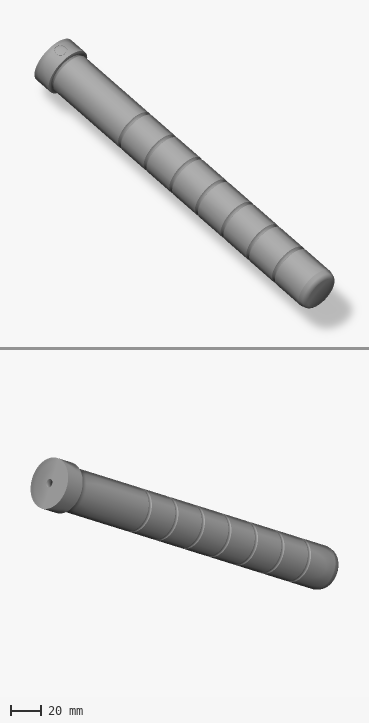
import cadquery as cq
import math

LENGTH = 260.0
HEAD_RADIUS = 17.55
HEAD_LENGTH = 13.8
SHAFT_RADIUS = 15.0

GROOVE_WIDTH = 2.9
GROOVE_DEPTH = 1.0
GROOVE_COUNT = 7
FIRST_GROOVE_X = 80.0
LAST_GROOVE_X = 230.0

UNDERCUT_DEPTH = 0.65
UNDERCUT_FLOOR = 1.3
UNDERCUT_TAPER = 0.8

LEAD_LENGTH = 5.5
LEAD_ANGLE = 15.0
TIP_LENGTH = 2.3
TIP_END_RADIUS = 11.7

CENTRE_MOUTH_RADIUS = 2.9
CENTRE_BORE_RADIUS = 1.5
CENTRE_CONE_ANGLE = 60.0
CENTRE_DEPTH = 5.7
DRILL_POINT_ANGLE = 118.0

MARK_OUTER_RADIUS = 4.5
MARK_INNER_RADIUS = 3.6
MARK_DEPTH = 0.3


def cone_depth(large_radius, small_radius, included_angle):
    """Axial length of a cone between two radii."""
    return (large_radius - small_radius) / math.tan(math.radians(included_angle / 2))


def pin_body():
    """Turned head, shaft and tapered, rounded tip."""
    lead_start = LENGTH - LEAD_LENGTH
    tip_start = LENGTH - TIP_LENGTH
    lead_slope = math.radians(LEAD_ANGLE)
    tip_radius = SHAFT_RADIUS - (tip_start - lead_start) * math.tan(lead_slope)
    return (
        cq.Workplane("XY")
        .lineTo(0, HEAD_RADIUS)
        .lineTo(HEAD_LENGTH, HEAD_RADIUS)
        .lineTo(HEAD_LENGTH, SHAFT_RADIUS)
        .lineTo(lead_start, SHAFT_RADIUS)
        .lineTo(tip_start, tip_radius)
        .tangentArcPoint((LENGTH, TIP_END_RADIUS), relative=False)
        .lineTo(LENGTH, 0)
        .close()
        .revolve(360, (0, 0, 0), (1, 0, 0))
    )


def ring_groove(centre_x):
    """Cutter for one arc-bottomed groove."""
    half_width = GROOVE_WIDTH / 2
    return (
        cq.Workplane("XY")
        .moveTo(centre_x - half_width, SHAFT_RADIUS)
        .threePointArc(
            (centre_x, SHAFT_RADIUS - GROOVE_DEPTH),
            (centre_x + half_width, SHAFT_RADIUS),
        )
        .close()
        .revolve(360, (0, 0, 0), (1, 0, 0))
    )


def centre_hole():
    """Cutter for the centre hole, running from the head face along X."""
    cone = cone_depth(CENTRE_MOUTH_RADIUS, CENTRE_BORE_RADIUS, CENTRE_CONE_ANGLE)
    point = cone_depth(CENTRE_BORE_RADIUS, 0, DRILL_POINT_ANGLE)
    return (
        cq.Workplane("XY")
        .lineTo(0, CENTRE_MOUTH_RADIUS)
        .lineTo(cone, CENTRE_BORE_RADIUS)
        .lineTo(CENTRE_DEPTH, CENTRE_BORE_RADIUS)
        .lineTo(CENTRE_DEPTH + point, 0)
        .close()
        .revolve(360, (0, 0, 0), (1, 0, 0))
    )


def undercut():
    """Cutter for the undercut beside the head: flat floor, then a taper up to the shaft."""
    floor_radius = SHAFT_RADIUS - UNDERCUT_DEPTH
    floor_end = HEAD_LENGTH + UNDERCUT_FLOOR
    return (
        cq.Workplane("XY")
        .moveTo(HEAD_LENGTH, SHAFT_RADIUS)
        .lineTo(HEAD_LENGTH, floor_radius)
        .lineTo(floor_end, floor_radius)
        .lineTo(floor_end + UNDERCUT_TAPER, SHAFT_RADIUS)
        .close()
        .revolve(360, (0, 0, 0), (1, 0, 0))
    )


def ring_mark():
    """Cutter for the ring mark, following the curve of the head at constant depth."""
    tube = (
        cq.Workplane("XY")
        .center(HEAD_LENGTH / 2, 0)
        .circle(MARK_OUTER_RADIUS)
        .circle(MARK_INNER_RADIUS)
        .extrude(HEAD_RADIUS)
    )
    head_core = cq.Workplane("YZ").circle(HEAD_RADIUS - MARK_DEPTH).extrude(HEAD_LENGTH)
    return tube.cut(head_core)


groove_pitch = (LAST_GROOVE_X - FIRST_GROOVE_X) / (GROOVE_COUNT - 1)

result = pin_body().cut(undercut())
for i in range(GROOVE_COUNT):
    result = result.cut(ring_groove(FIRST_GROOVE_X + i * groove_pitch))
result = result.cut(centre_hole()).cut(ring_mark())